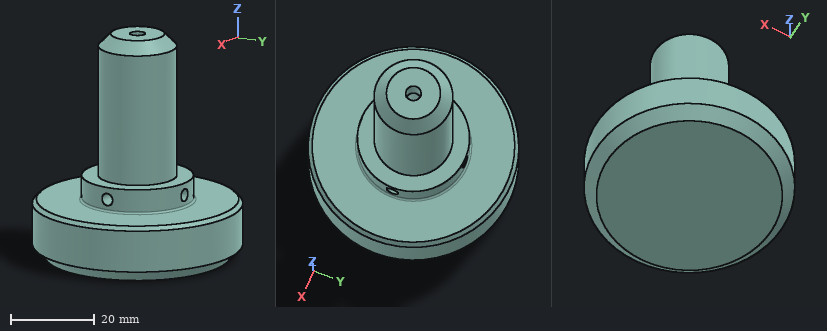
import cadquery as cq
import math

total_height = 55.6

disc_diameter = 50.8
disc_height = 14.25
disc_bottom_chamfer = 3.0
disc_top_chamfer = 1.0

collar_diameter = 27.0
collar_height = 6.0
collar_root_fillet = 0.5
cross_hole_diameter = 3.0

shaft_diameter = 19.0
shaft_chamfer = 3.0

centre_hole_diameter = 3.65
centre_hole_depth = 5.55
drill_tip_angle = 118.0

collar_top = disc_height + collar_height
cross_hole_level = disc_height + collar_height / 2


def make_disc():
    disc = cq.Workplane("XY").circle(disc_diameter / 2).extrude(disc_height)
    disc = disc.faces("<Z").chamfer(disc_bottom_chamfer)
    return disc.faces(">Z").chamfer(disc_top_chamfer)


def make_collar():
    """Collar flared at its foot by a concave fillet."""
    radius = collar_diameter / 2
    foot_radius = radius + collar_root_fillet
    fillet_top = disc_height + collar_root_fillet
    midpoint_offset = collar_root_fillet * (1 - math.sqrt(0.5))
    return (
        cq.Workplane("XZ")
        .moveTo(0, disc_height)
        .lineTo(foot_radius, disc_height)
        .threePointArc(
            (radius + midpoint_offset, disc_height + midpoint_offset),
            (radius, fillet_top),
        )
        .lineTo(radius, collar_top)
        .lineTo(0, collar_top)
        .close()
        .revolve(360, (0, 0), (0, 1))
    )


def make_shaft():
    shaft = (
        cq.Workplane("XY", origin=(0, 0, collar_top))
        .circle(shaft_diameter / 2)
        .extrude(total_height - collar_top)
    )
    return shaft.faces(">Z").chamfer(shaft_chamfer)


def make_cross_hole(plane):
    """Cutter through the full collar along the normal of the given plane."""
    return (
        cq.Workplane(plane, origin=(0, 0, cross_hole_level))
        .circle(cross_hole_diameter / 2)
        .extrude(collar_diameter, both=True)
    )


def make_centre_hole():
    """Cutter for the blind hole: straight bore ending in a drill-tip cone."""
    radius = centre_hole_diameter / 2
    bore_bottom = total_height - centre_hole_depth
    tip_height = radius / math.tan(math.radians(drill_tip_angle / 2))
    return (
        cq.Workplane("XZ")
        .moveTo(0, total_height)
        .lineTo(radius, total_height)
        .lineTo(radius, bore_bottom)
        .lineTo(0, bore_bottom - tip_height)
        .close()
        .revolve(360, (0, 0), (0, 1))
    )


result = make_disc().union(make_collar()).union(make_shaft())
for hole_plane in ("XZ", "YZ"):
    result = result.cut(make_cross_hole(hole_plane))
result = result.cut(make_centre_hole())